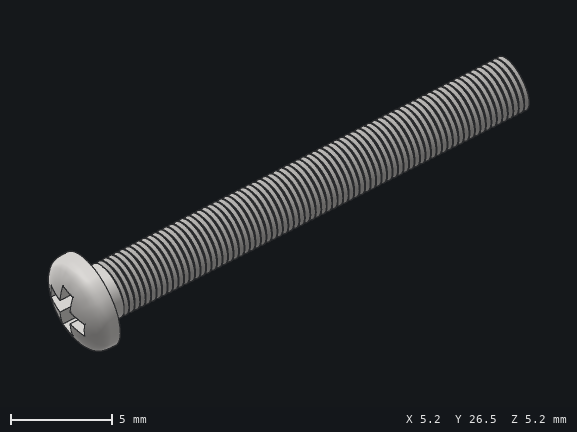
import cadquery as cq

total_length = 26.45

head_diameter = 5.2
head_height = 1.55
crown_reach = 2.27
rim_start = 0.8
crown_peak = 0.03

recess_span = 3.0
recess_arm_width = 0.9
recess_depth = 1.1

shank_diameter = 3.0
plain_shank_length = 0.95
groove_count = 74
groove_depth = 0.25
crest_width = 0.05

head_radius = head_diameter / 2
shank_radius = shank_diameter / 2
root_radius = shank_radius - groove_depth
thread_start = head_height + plain_shank_length
thread_length = total_length - thread_start
groove_width = (thread_length - (groove_count - 1) * crest_width) / groove_count
groove_pitch = groove_width + crest_width


def make_head():
    """Revolve one smooth curve from the middle of the crown to the straight rim."""
    crown_curve = [
        (-crown_peak, 0),
        (-crown_peak, crown_reach),
        (rim_start, head_radius),
        (rim_start, head_radius),
        (head_height, head_radius),
    ]
    half_section = cq.Workplane("YZ").bezier(crown_curve).lineTo(head_height, 0).close()
    return half_section.revolve(360, (0, 0, 0), (1, 0, 0))


def make_shank():
    """Revolve the half section of the plain neck and the grooved thread."""
    half_section = (
        cq.Workplane("YZ")
        .moveTo(head_height, 0)
        .lineTo(head_height, shank_radius)
        .lineTo(thread_start, shank_radius)
    )
    for groove in range(groove_count):
        groove_start = thread_start + groove * groove_pitch
        if groove > 0:
            half_section = half_section.lineTo(groove_start, shank_radius)
        half_section = half_section.lineTo(groove_start + groove_width / 2, root_radius)
        half_section = half_section.lineTo(groove_start + groove_width, shank_radius)
    half_section = half_section.lineTo(total_length, 0).close()
    return half_section.revolve(360, (0, 0, 0), (1, 0, 0))


def make_recess():
    """Two crossed bars sunk into the crown."""
    cut_length = crown_peak + recess_depth
    cut_centre = recess_depth - cut_length / 2
    level_bar = cq.Workplane("XY").box(recess_span, cut_length, recess_arm_width)
    upright_bar = cq.Workplane("XY").box(recess_arm_width, cut_length, recess_span)
    return level_bar.union(upright_bar).translate((0, cut_centre, 0))


result = make_head().union(make_shank()).cut(make_recess())